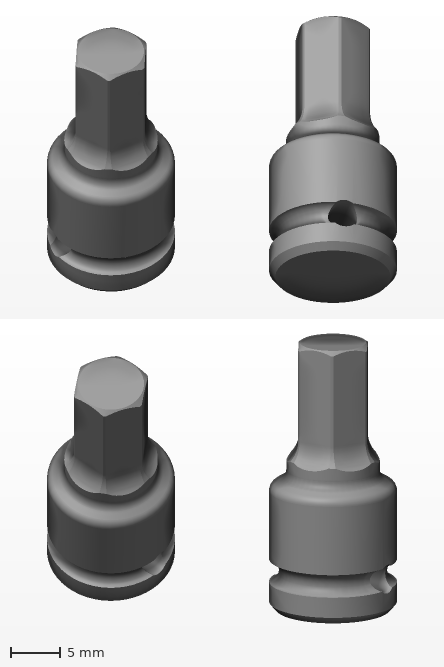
import cadquery as cq
import math

total_height = 28.0
body_radius = 6.5

flat_count = 6
across_flats = 7.0
corner_radius = 3.96
hex_length = 10.0
flare_radius = 3.0
tip_radius = 3.36
tip_cone_angle = 35.0

neck_radius = 4.75
shoulder_height = 13.0
shoulder_angle = 30.0
shoulder_fillet = 1.0

groove_height = 4.05
groove_depth = 1.0
groove_radius = 1.2
hole_height = 4.0
hole_diameter = 3.0
chamfer_height = 0.75
chamfer_width = 0.65

cutter_clearance = 0.5

hex_base = total_height - hex_length
flat_distance = across_flats / 2


def flare_drop(start_radius, end_radius):
    """Height used by the concave flare between two distances from the axis."""
    rise = flare_radius - (end_radius - start_radius)
    return math.sqrt(flare_radius**2 - rise**2)


def flare_midpoint(start_radius, end_radius):
    """Point halfway along the flare that starts tangent at the hex base."""
    sweep = math.asin(flare_drop(start_radius, end_radius) / flare_radius)
    return (
        start_radius + flare_radius * (1 - math.cos(sweep / 2)),
        hex_base - flare_radius * math.sin(sweep / 2),
    )


def turned_blank():
    """Round envelope of the whole part, with the groove."""
    slope = math.radians(shoulder_angle)
    tip_drop = (corner_radius - tip_radius) * math.tan(math.radians(tip_cone_angle))

    turn = math.pi / 2 - slope
    fillet_tangent = shoulder_fillet * math.tan(turn / 2)
    fillet_width = shoulder_fillet * (1 - math.cos(turn))
    fillet_rise = shoulder_fillet * math.sin(turn)
    half_width = shoulder_fillet * (1 - math.cos(turn / 2))
    half_rise = shoulder_fillet * math.sin(turn / 2)

    body_top = shoulder_height - fillet_tangent
    neck_corner = shoulder_height + (body_radius - neck_radius) * math.tan(slope)
    neck_bottom = neck_corner + fillet_tangent
    neck_top = hex_base - flare_drop(corner_radius, neck_radius)

    groove_floor = body_radius - groove_depth
    groove_half = math.sqrt(groove_radius**2 - (groove_radius - groove_depth)**2)

    profile = (
        cq.Workplane("XZ")
        .moveTo(0, 0)
        .lineTo(body_radius - chamfer_width, 0)
        .lineTo(body_radius, chamfer_height)
        .lineTo(body_radius, groove_height - groove_half)
        .threePointArc((groove_floor, groove_height), (body_radius, groove_height + groove_half))
        .lineTo(body_radius, body_top)
        .threePointArc(
            (body_radius - half_width, body_top + half_rise),
            (body_radius - fillet_width, body_top + fillet_rise),
        )
        .lineTo(neck_radius + fillet_width, neck_bottom - fillet_rise)
        .threePointArc(
            (neck_radius + half_width, neck_bottom - half_rise),
            (neck_radius, neck_bottom),
        )
        .lineTo(neck_radius, neck_top)
        .threePointArc(flare_midpoint(corner_radius, neck_radius), (corner_radius, hex_base))
        .lineTo(corner_radius, total_height - tip_drop)
        .lineTo(tip_radius, total_height)
        .lineTo(0, total_height)
        .close()
    )
    return profile.revolve(360, (0, 0, 0), (0, 1, 0))


def flat_cutter():
    """Bar that removes the stock outside the hex flat facing +X."""
    outer = neck_radius + cutter_clearance
    flare_end = hex_base - flare_drop(flat_distance, outer)
    profile = (
        cq.Workplane("XZ")
        .moveTo(outer, flare_end)
        .lineTo(outer, total_height + cutter_clearance)
        .lineTo(flat_distance, total_height + cutter_clearance)
        .lineTo(flat_distance, hex_base)
        .threePointArc(flare_midpoint(flat_distance, outer), (outer, flare_end))
        .close()
    )
    return profile.extrude(neck_radius, both=True)


def cross_hole():
    """Pin hole through the groove, along Y."""
    return (
        cq.Workplane("XZ")
        .center(0, hole_height)
        .circle(hole_diameter / 2)
        .extrude(body_radius, both=True)
    )


result = turned_blank()
for side in range(flat_count):
    result = result.cut(flat_cutter().rotate((0, 0, 0), (0, 0, 1), side * 360 / flat_count))
result = result.cut(cross_hole())